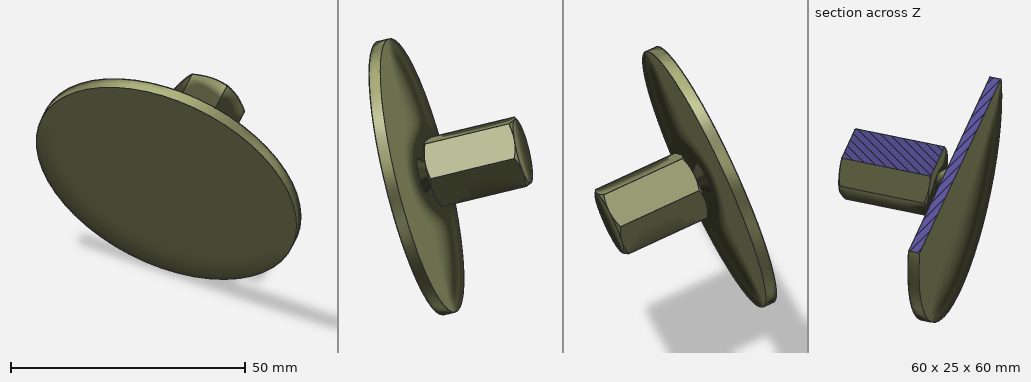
import cadquery as cq
import math

plate_diameter = 60.0
plate_thickness = 2.5

cone_height = 2.5
cone_base_diameter = 7.55
cone_tip_diameter = 3.35

nut_length = 20.0
nut_across_flats = 14.0
nut_sides = 6
nut_chamfer_angle = 30.0

nut_start = plate_thickness + cone_height
nut_flat_radius = nut_across_flats / 2
nut_corner_radius = nut_flat_radius / math.cos(math.pi / nut_sides)
nut_chamfer_depth = (nut_corner_radius - nut_flat_radius) * math.tan(math.radians(nut_chamfer_angle))


def revolve_about_y(profile_points):
    """Turn a closed (radius, y) profile about the Y axis."""
    profile = cq.Workplane("XY").polyline(profile_points).close()
    return profile.revolve(360, (0, 0), (0, 1))


def make_plate():
    """Disc and conical boss, turned as one solid."""
    return revolve_about_y([
        (0, 0),
        (plate_diameter / 2, 0),
        (plate_diameter / 2, plate_thickness),
        (cone_base_diameter / 2, plate_thickness),
        (cone_tip_diameter / 2, nut_start),
        (0, nut_start),
    ])


def make_nut():
    """Hexagonal prism with corners along X, chamfered conically at both ends."""
    nut_end = nut_start + nut_length
    hexagon = (
        cq.Workplane("XZ", origin=(0, nut_start, 0))
        .polygon(nut_sides, 2 * nut_corner_radius)
        .extrude(-nut_length)
    )
    chamfer_envelope = revolve_about_y([
        (0, nut_start),
        (nut_flat_radius, nut_start),
        (nut_corner_radius, nut_start + nut_chamfer_depth),
        (nut_corner_radius, nut_end - nut_chamfer_depth),
        (nut_flat_radius, nut_end),
        (0, nut_end),
    ])
    return hexagon.intersect(chamfer_envelope)


plate = make_plate()
nut = make_nut()

result = cq.Compound.makeCompound([plate.solids().val(), nut.solids().val()])